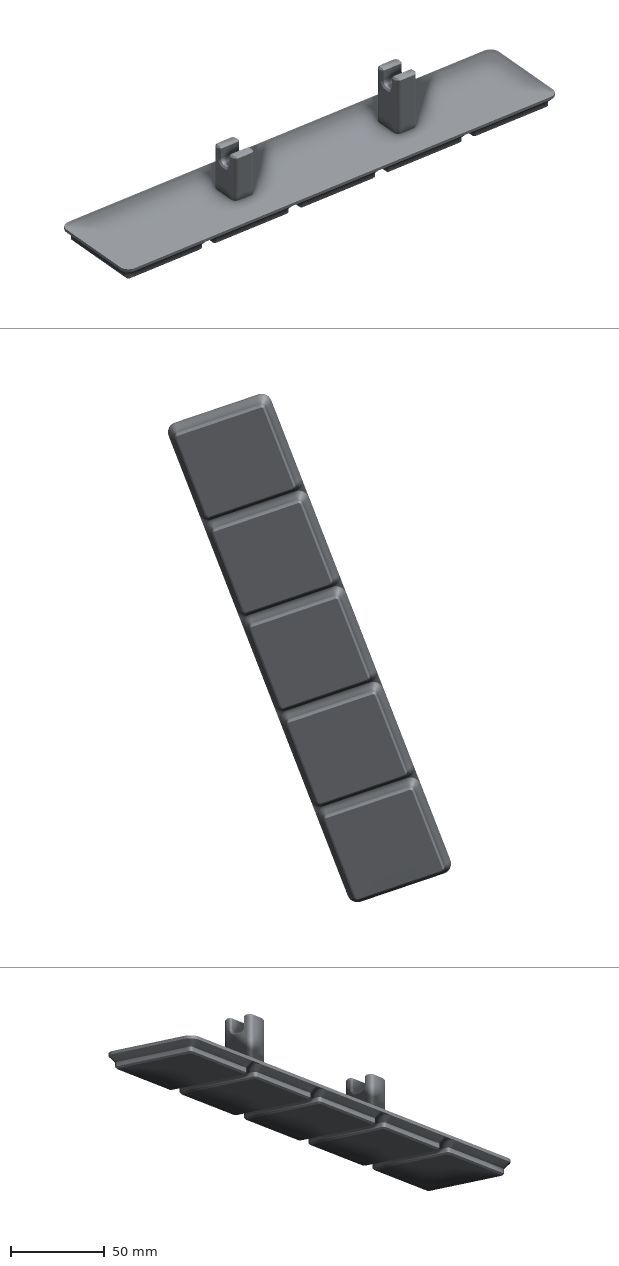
import cadquery as cq
import math

CELL = 58.2
CELL_COUNT = 5
PLATE_LENGTH = CELL * CELL_COUNT
PLATE_TOP = 8.7
SLAB_THICKNESS = 1.7
SLAB_UNDERSIDE = PLATE_TOP - SLAB_THICKNESS
PLATE_CORNER_RADIUS = 5.5
FOOT_INSET = 3.5
FOOT_CHAMFER = 0.95
TAPER_BOTTOM = SLAB_UNDERSIDE - FOOT_INSET

POST_X = 18.5
POST_Y = 14.0
POST_CORNER_RADIUS = 3.0
RIM_CHAMFER = 1.02
REAR_POST_Y = 58.8
REAR_POST_TOP = 43.5
FRONT_POST_Y = -50.7
FRONT_POST_TOP = 36.5
POST_PLACES = [(REAR_POST_Y, REAR_POST_TOP), (FRONT_POST_Y, FRONT_POST_TOP)]

SLOT_WIDTH = 8.0
SLOT_DEPTH = 9.5
SLOT_FLOOR_RADIUS = 3.0
SLOT_SLOPE = math.degrees(math.atan2(REAR_POST_TOP - FRONT_POST_TOP, REAR_POST_Y - FRONT_POST_Y))

TOLERANCE = 0.03


def rounded_block(size_x, size_y, height, corner_radius):
    """Block standing on the XY plane, with its vertical edges rounded."""
    block = cq.Workplane("XY").box(size_x, size_y, height, centered=(True, True, False))
    return block.edges("|Z").fillet(corner_radius)


def make_cell(y):
    """One foot with a chamfered sole and the taper that widens it to a full cell."""
    wall_size = CELL - 2 * FOOT_INSET
    wall = rounded_block(wall_size, wall_size, TAPER_BOTTOM, PLATE_CORNER_RADIUS - FOOT_INSET)
    wall = wall.faces("<Z").chamfer(FOOT_CHAMFER)
    taper = rounded_block(CELL, CELL, PLATE_TOP - TAPER_BOTTOM, PLATE_CORNER_RADIUS)
    taper = taper.faces("<Z").chamfer(FOOT_INSET).translate((0, 0, TAPER_BOTTOM))
    return wall.union(taper).translate((0, y, 0))


def make_base_plate():
    """The slab and its row of feet, as one solid centred on the origin."""
    plate = rounded_block(CELL, PLATE_LENGTH, SLAB_THICKNESS, PLATE_CORNER_RADIUS)
    plate = plate.translate((0, 0, SLAB_UNDERSIDE))
    first_cell_y = (CELL - PLATE_LENGTH) / 2
    for index in range(CELL_COUNT):
        plate = plate.union(make_cell(first_cell_y + index * CELL))
    return plate


def make_slot_cutter(floor_height):
    """Slot shape with rounded floor corners; its floor rises toward +Y."""
    cutter = cq.Workplane("XY").box(SLOT_WIDTH, 2 * POST_Y, 2 * SLOT_DEPTH, centered=(True, True, False))
    cutter = cutter.edges("|Y and <Z").fillet(SLOT_FLOOR_RADIUS)
    return cutter.rotate((0, 0, 0), (1, 0, 0), SLOT_SLOPE).translate((0, 0, floor_height))


def is_slot_mouth(edge):
    """True for the slot's edges on the post's end faces, which lie within its width and off the plate."""
    center = edge.Center()
    return abs(center.x) < SLOT_WIDTH / 2 + TOLERANCE and center.z > TOLERANCE


def make_post(y, top):
    """One slotted post standing on the plate, with its top at the given height."""
    height = top - PLATE_TOP
    post = rounded_block(POST_X, POST_Y, height, POST_CORNER_RADIUS)
    post = post.cut(make_slot_cutter(height - SLOT_DEPTH))
    slot_mouths = post.faces("<Y or >Y").edges().filter(is_slot_mouth)
    top_rim = post.faces(">Z").edges()
    post = slot_mouths.add(top_rim).chamfer(RIM_CHAMFER)
    return post.translate((0, y, PLATE_TOP))


base_plate = make_base_plate()
posts = [make_post(y, top) for y, top in POST_PLACES]
result = cq.Compound.makeCompound([base_plate.val(), *[post.val() for post in posts]])